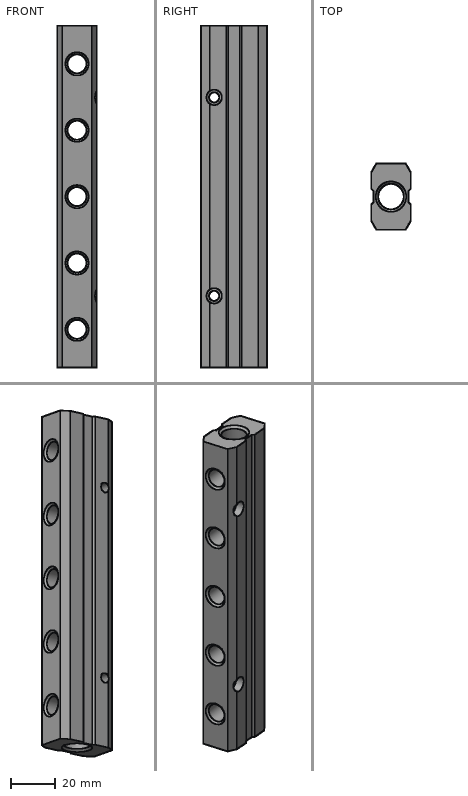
import cadquery as cq

length = 155.0
width = 18.0
depth = 30.0
corner_x = 2.3
corner_y = 4.0

groove_mouth = 7.1
groove_depth = 1.0

bore_diameter = 11.5
bore_mouth_diameter = 13.8

port_count = 5
port_pitch = 30.0
port_diameter = 8.5
port_mouth_diameter = 10.5

mount_diameter = 4.5
mount_recess_diameter = 7.0
mount_recess_depth = 4.0
mount_y = -9.0
mount_spacing = 89.9


def make_body():
    """Bar with chamfered long edges, centred on the origin."""
    half_x = width / 2
    half_y = depth / 2
    half_mouth = groove_mouth / 2
    half_floor = half_mouth - groove_depth
    right_side = [
        (half_x - corner_x, -half_y),
        (half_x, -half_y + corner_y),
        (half_x, -half_mouth),
        (half_x - groove_depth, -half_floor),
        (half_x - groove_depth, half_floor),
        (half_x, half_mouth),
        (half_x, half_y - corner_y),
        (half_x - corner_x, half_y),
    ]
    left_side = [(-x, y) for x, y in reversed(right_side)]
    outline = cq.Workplane("XY").polyline(right_side + left_side).close()
    return outline.extrude(length / 2, both=True)


def through_cutter(span, diameter, mouth_diameter):
    """Through hole with a 45 degree countersink at both ends, along Z and centred on the origin."""
    radius = diameter / 2
    mouth_radius = mouth_diameter / 2
    sink = mouth_radius - radius
    half = span / 2
    profile = [
        (0, -half),
        (mouth_radius, -half),
        (radius, -half + sink),
        (radius, half - sink),
        (mouth_radius, half),
        (0, half),
    ]
    return cq.Workplane("XZ").polyline(profile).close().revolve(360, (0, 0), (0, 1))


def cut_mounting_holes(body):
    """Pair of through holes along X, each with a screw-head recess on the +X face."""
    centers = [(mount_y, -mount_spacing / 2), (mount_y, mount_spacing / 2)]
    recess_floor = cq.Workplane("YZ", origin=(width / 2 - mount_recess_depth, 0, 0)).pushPoints(centers)
    holes = cq.Workplane("YZ").pushPoints(centers).circle(mount_diameter / 2).extrude(width, both=True)
    recesses = recess_floor.circle(mount_recess_diameter / 2).extrude(mount_recess_depth)
    return body.cut(holes).cut(recesses)


def cut_ports(body):
    """Evenly spaced ports crossing the main bore."""
    port = through_cutter(depth, port_diameter, port_mouth_diameter)
    port = port.rotate((0, 0, 0), (1, 0, 0), 90)
    for index in range(port_count):
        z = (index - (port_count - 1) / 2) * port_pitch
        body = body.cut(port.translate((0, 0, z)))
    return body


result = make_body().cut(through_cutter(length, bore_diameter, bore_mouth_diameter))
result = cut_ports(result)
result = cut_mounting_holes(result)